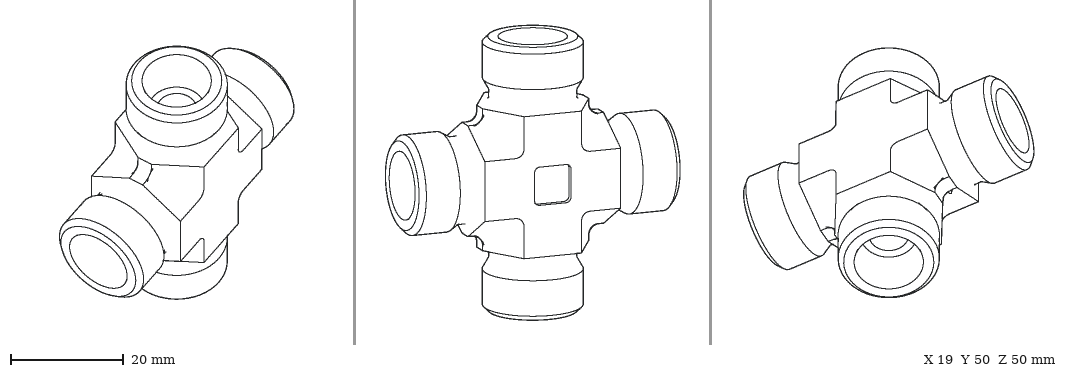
import cadquery as cq
import math

ACROSS_FLATS = 19.0
CORNER_HEIGHT = 20.3
BODY_LENGTH = 26.0
CROTCH_RADIUS = 2.0

OVERALL_LENGTH = 50.0
THREAD_DIAMETER = 18.0
THREAD_LENGTH = 7.5
END_CHAMFER = 1.0
NECK_DIAMETER = 15.7
RUNOUT_ANGLE = math.radians(30)
RUNOUT_FILLET = 1.0
NECK_FILLET = 1.0

THROUGH_BORE = 7.0
TUBE_BORE = 10.0
TUBE_DEPTH = 7.5
CONE_MOUTH = 12.3
CONE_HALF_ANGLE = math.radians(12)

RECESS_SIZE = 7.0
RECESS_CORNER = 1.0
RECESS_DEPTH = 1.0

SELECTION_MARGIN = 0.5

HEXAGON_SLOPE = math.tan(math.radians(30))
HALF_SIDE = ACROSS_FLATS / 2 * HEXAGON_SLOPE
HALF_BODY = BODY_LENGTH / 2
HALF_LENGTH = OVERALL_LENGTH / 2
CONNECTOR_ANGLES = (0, 90, 180, 270)


def hexagonal_bar():
    """Bar along Z with flats on +-X and truncated corners on +-Y."""
    half_width = ACROSS_FLATS / 2
    half_height = CORNER_HEIGHT / 2
    half_tip = (2 * HALF_SIDE - half_height) / HEXAGON_SLOPE
    outline = [
        (half_width, -HALF_SIDE),
        (half_width, HALF_SIDE),
        (half_tip, half_height),
        (-half_tip, half_height),
        (-half_width, HALF_SIDE),
        (-half_width, -HALF_SIDE),
        (-half_tip, -half_height),
        (half_tip, -half_height),
    ]
    return cq.Workplane("XY").polyline(outline).close().extrude(HALF_BODY, both=True)


def about_x(shape, angle):
    return shape.rotate((0, 0, 0), (1, 0, 0), angle)


def crotch_box(y_side, z_side):
    """Selector around the inner corner between two neighbouring arms."""
    inner = HALF_SIDE + SELECTION_MARGIN
    outer = CORNER_HEIGHT / 2 + SELECTION_MARGIN
    return cq.selectors.BoxSelector(
        (-ACROSS_FLATS, y_side * inner, z_side * inner),
        (ACROSS_FLATS, y_side * outer, z_side * outer),
    )


def cross_body():
    bar = hexagonal_bar()
    body = bar.union(about_x(bar, 90))
    for y_side in (-1, 1):
        for z_side in (-1, 1):
            body = body.edges(crotch_box(y_side, z_side)).fillet(CROTCH_RADIUS)
    return body


def connector():
    """Threaded end along +Z, with an undercut neck that runs to the body centre."""
    thread_radius = THREAD_DIAMETER / 2
    neck_radius = NECK_DIAMETER / 2
    thread_start = HALF_LENGTH - THREAD_LENGTH
    runout_length = (thread_radius - neck_radius) / math.tan(RUNOUT_ANGLE)
    runout_end = thread_start - runout_length
    runout_tangent = RUNOUT_FILLET * math.tan(RUNOUT_ANGLE / 2)
    arc_centre_r = neck_radius + RUNOUT_FILLET
    arc_centre_z = runout_end - runout_tangent
    arc_middle = (
        arc_centre_r - RUNOUT_FILLET * math.cos(RUNOUT_ANGLE / 2),
        arc_centre_z + RUNOUT_FILLET * math.sin(RUNOUT_ANGLE / 2),
    )
    arc_start = (
        arc_centre_r - RUNOUT_FILLET * math.cos(RUNOUT_ANGLE),
        arc_centre_z + RUNOUT_FILLET * math.sin(RUNOUT_ANGLE),
    )
    return (
        cq.Workplane("XZ")
        .lineTo(0, HALF_LENGTH)
        .lineTo(thread_radius - END_CHAMFER, HALF_LENGTH)
        .lineTo(thread_radius, HALF_LENGTH - END_CHAMFER)
        .lineTo(thread_radius, thread_start)
        .lineTo(*arc_start)
        .threePointArc(arc_middle, (neck_radius, arc_centre_z))
        .lineTo(neck_radius, 0)
        .close()
        .revolve(360, (0, 0, 0), (0, 1, 0))
    )


def neck_seats():
    """Selector for the four circles where the necks meet the body."""
    seats = []
    for y, z in ((0, HALF_BODY), (0, -HALF_BODY), (HALF_BODY, 0), (-HALF_BODY, 0)):
        lower = (-SELECTION_MARGIN, y - SELECTION_MARGIN, z - SELECTION_MARGIN)
        upper = (SELECTION_MARGIN, y + SELECTION_MARGIN, z + SELECTION_MARGIN)
        seats.append(cq.selectors.BoxSelector(lower, upper))
    return seats[0] + seats[1] + seats[2] + seats[3]


def connector_bore():
    """Through bore, tube socket and sealing cone along +Z."""
    mouth_radius = CONE_MOUTH / 2
    tube_radius = TUBE_BORE / 2
    bore_radius = THROUGH_BORE / 2
    cone_depth = (mouth_radius - tube_radius) / math.tan(CONE_HALF_ANGLE)
    outline = [
        (0, 0),
        (bore_radius, 0),
        (bore_radius, HALF_LENGTH - TUBE_DEPTH),
        (tube_radius, HALF_LENGTH - TUBE_DEPTH),
        (tube_radius, HALF_LENGTH - cone_depth),
        (mouth_radius, HALF_LENGTH),
        (0, HALF_LENGTH),
    ]
    return cq.Workplane("XZ").polyline(outline).close().revolve(360, (0, 0, 0), (0, 1, 0))


def face_recess():
    return (
        cq.Workplane("YZ", origin=(-ACROSS_FLATS / 2, 0, 0))
        .rect(RECESS_SIZE, RECESS_SIZE)
        .extrude(RECESS_DEPTH)
        .edges("|X")
        .fillet(RECESS_CORNER)
    )


result = cross_body()
for angle in CONNECTOR_ANGLES:
    result = result.union(about_x(connector(), angle))
result = result.edges(neck_seats()).fillet(NECK_FILLET)
for angle in CONNECTOR_ANGLES:
    result = result.cut(about_x(connector_bore(), angle))
result = result.cut(face_recess())